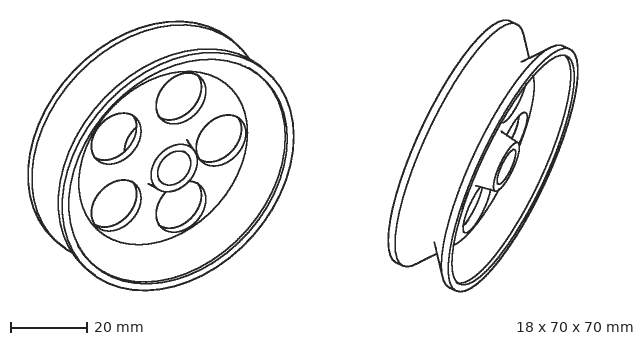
import cadquery as cq
import math

width = 18.0
outer_diameter = 70.0
lip_inner_diameter = 66.0
lip_depth = 1.05
dish_floor_diameter = 50.95

groove_mouth_width = 13.85
groove_wall_angle = 49.2
groove_root_radius = 1.05

web_thickness = 2.4
hole_count = 5
hole_diameter = 15.0
hole_circle_diameter = 35.0

bore_diameter = 10.0
hub_length = 14.0
hub_tip_diameter = 14.0
hub_draft_angle = 9.0
hub_fillet_radius = 0.55

outer_radius = outer_diameter / 2


def revolve_about_x(profile):
    """Turn a closed profile drawn as (x, radius) into a solid of revolution about X."""
    return profile.close().revolve(360, (0, 0, 0), (1, 0, 0))


def make_wheel():
    """Solid disc with a round-bottomed V groove around its edge."""
    wall = math.radians(groove_wall_angle)
    half_width = width / 2
    half_mouth = groove_mouth_width / 2

    root_x = groove_root_radius * math.sin(wall)
    root_radius = outer_radius - (half_mouth - root_x) * math.tan(wall)
    groove_bottom_radius = root_radius - groove_root_radius * (1 - math.cos(wall))

    profile = (
        cq.Workplane("XY")
        .moveTo(-half_width, 0)
        .lineTo(-half_width, outer_radius)
        .lineTo(-half_mouth, outer_radius)
        .lineTo(-root_x, root_radius)
        .threePointArc((0, groove_bottom_radius), (root_x, root_radius))
        .lineTo(half_mouth, outer_radius)
        .lineTo(half_width, outer_radius)
        .lineTo(half_width, 0)
    )
    return revolve_about_x(profile)


def make_dish(side):
    """Conical recess with a short straight lip at the face; side is -1 or +1 along X."""
    web_x = side * web_thickness / 2
    face_x = side * width / 2
    profile = (
        cq.Workplane("XY")
        .moveTo(web_x, 0)
        .lineTo(web_x, dish_floor_diameter / 2)
        .lineTo(face_x - side * lip_depth, lip_inner_diameter / 2)
        .lineTo(face_x, lip_inner_diameter / 2)
        .lineTo(face_x, 0)
    )
    return revolve_about_x(profile)


def make_hub_half(side):
    """Drafted boss from mid-plane to tip, flared by a fillet where it meets the web."""
    draft = math.radians(hub_draft_angle)
    web_x = web_thickness / 2
    tip_x = hub_length / 2
    tip_radius = hub_tip_diameter / 2
    corner_radius = tip_radius + (tip_x - web_x) * math.tan(draft)

    tangent_length = hub_fillet_radius * math.tan((math.pi / 2 - draft) / 2)
    center_x = web_x + hub_fillet_radius
    center_radius = corner_radius + tangent_length
    mid_angle = (math.pi / 2 - draft) / 2 + draft

    def arc_point(angle):
        """Fillet point at an angle measured from the inward radial direction."""
        x = center_x - hub_fillet_radius * math.sin(angle)
        return side * x, center_radius - hub_fillet_radius * math.cos(angle)

    profile = (
        cq.Workplane("XY")
        .moveTo(0, 0)
        .lineTo(0, center_radius)
        .lineTo(*arc_point(math.pi / 2))
        .threePointArc(arc_point(mid_angle), arc_point(draft))
        .lineTo(side * tip_x, tip_radius)
        .lineTo(side * tip_x, 0)
    )
    return revolve_about_x(profile)


def make_hole(diameter, y=0.0, z=0.0):
    """Cylinder along X that cuts through the full width."""
    return cq.Workplane("YZ").center(y, z).circle(diameter / 2).extrude(width / 2, both=True)


result = make_wheel()
for side in (-1, 1):
    result = result.cut(make_dish(side)).union(make_hub_half(side))

result = result.cut(make_hole(bore_diameter))

for i in range(hole_count):
    angle = 2 * math.pi * i / hole_count
    hole_y = hole_circle_diameter / 2 * math.cos(angle)
    hole_z = hole_circle_diameter / 2 * math.sin(angle)
    result = result.cut(make_hole(hole_diameter, hole_y, hole_z))